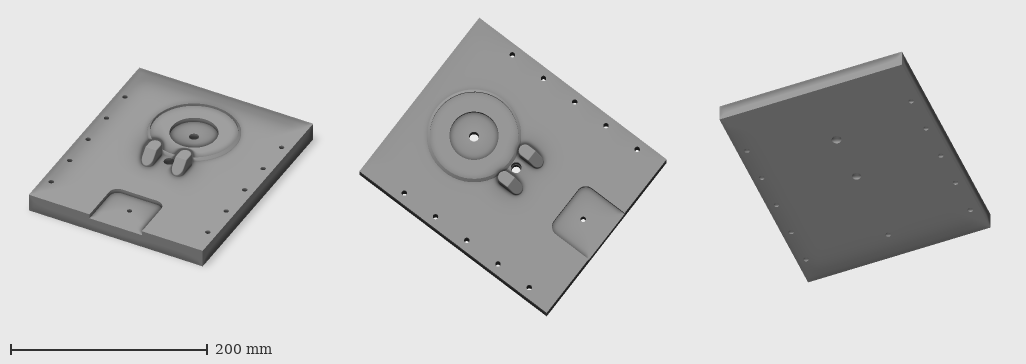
import cadquery as cq
plate_width = 200.0
plate_length = 240.0
plate_thickness = 20.0

edge_hole_diameter = 5.5
edge_hole_x = 90.0
first_hole_y = 30.0
edge_hole_span = 160.0
edge_hole_count = 5

seat_y = 170.0
rim_inner_diameter = 90.0
rim_outer_diameter = 96.0
recess_diameter = 50.0
recess_depth = 5.0
seat_hole_diameter = 10.0

step_hole_y = 116.0
step_hole_top_diameter = 11.0
step_hole_diameter = 9.0
step_depth = 10.0

pocket_width = 60.0
pocket_length = 52.0
pocket_depth = 5.0
pocket_corner_radius = 10.0
pocket_hole_diameter = 5.5

post_x = 17.3
post_width = 13.0
post_length = 28.0
post_rear_y = 124.3
post_height = 15.0
post_top_length = 15.0
post_fillet = 1.0


def through_holes(points, diameter):
    """Cylinders that pass through the full plate thickness."""
    return cq.Workplane("XY").pushPoints(points).circle(diameter / 2).extrude(plate_thickness)


def blind_hole(y, diameter, depth):
    """Cylinder on the centre line, sunk from the top of the plate."""
    return cq.Workplane("XY", origin=(0, y, plate_thickness)).circle(diameter / 2).extrude(-depth)


def make_plate():
    size = (plate_width, plate_length, plate_thickness)
    return cq.Workplane("XY").box(*size, centered=(True, False, False))


def make_rim():
    """Ring with a vertical inner wall and a 45 degree outer side that meet in a sharp crest."""
    inner_radius = rim_inner_diameter / 2
    outer_radius = rim_outer_diameter / 2
    rim_height = outer_radius - inner_radius
    return (
        cq.Workplane("XZ", origin=(0, seat_y, plate_thickness))
        .moveTo(inner_radius, 0)
        .lineTo(outer_radius, 0)
        .lineTo(inner_radius, rim_height)
        .close()
        .revolve(360, (0, 0), (0, 1))
    )


def make_pocket():
    """Block to cut away at the front edge, with its two rear corners rounded."""
    floor_z = plate_thickness - pocket_depth
    block = cq.Workplane("XY", origin=(0, 0, floor_z)).box(
        pocket_width, pocket_length, pocket_depth, centered=(True, False, False)
    )
    return block.edges("|Z and >Y").fillet(pocket_corner_radius)


def make_post(x):
    """Post with a 45 degree front slope and rounded edges around its top and slope."""
    centre_y = post_rear_y - post_length / 2
    post = (
        cq.Workplane("XY", origin=(x, centre_y, plate_thickness))
        .slot2D(post_length, post_width, 90)
        .extrude(post_height)
    )
    slope_top_y = post_rear_y - post_top_length
    top_z = plate_thickness + post_height
    wedge = (
        cq.Workplane("YZ", origin=(x, 0, 0))
        .moveTo(slope_top_y, top_z)
        .lineTo(slope_top_y - post_height, top_z)
        .lineTo(slope_top_y - post_height, plate_thickness)
        .close()
        .extrude(post_width, both=True)
    )
    post = post.cut(wedge)
    return post.edges("not(<Z or |Z)").fillet(post_fillet)


def add_posts(body):
    """Join both posts to the plate with a fillet around each foot."""
    for x in (-post_x, post_x):
        body = body.union(make_post(x))
    foot_zone = cq.selectors.BoxSelector(
        (-post_x - post_width, post_rear_y - post_length - post_fillet, plate_thickness - post_fillet),
        (post_x + post_width, post_rear_y + post_fillet, plate_thickness + post_fillet),
        boundingbox=True,
    )
    return body.edges(foot_zone).fillet(post_fillet)


hole_pitch = edge_hole_span / (edge_hole_count - 1)
edge_holes = [
    (side * edge_hole_x, first_hole_y + row * hole_pitch)
    for side in (-1, 1)
    for row in range(edge_hole_count)
]

result = add_posts(make_plate())
result = result.union(make_rim())
result = result.cut(make_pocket())
result = result.cut(blind_hole(seat_y, recess_diameter, recess_depth))
result = result.cut(blind_hole(step_hole_y, step_hole_top_diameter, step_depth))
result = result.cut(through_holes([(0, seat_y)], seat_hole_diameter))
result = result.cut(through_holes([(0, step_hole_y)], step_hole_diameter))
result = result.cut(through_holes([(0, first_hole_y)], pocket_hole_diameter))
result = result.cut(through_holes(edge_holes, edge_hole_diameter))